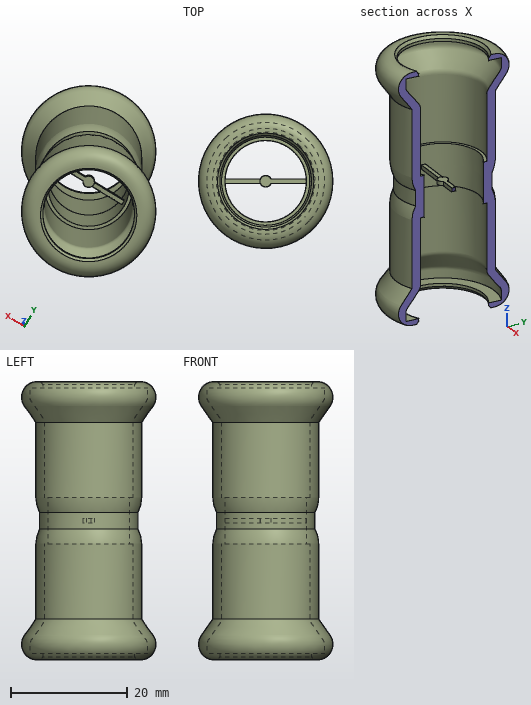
import cadquery as cq
import math

half_length = 24.0
tube_radius = 18.3 / 2
socket_radius = 15.2 / 2
neck_radius = 17.0 / 2
bore_radius = 14.0 / 2

neck_half_length = 1.45
waist_half_length = 4.0

bead_max_radius = 23.2 / 2
bead_arc_radius = 2.7
bead_end_depth = 7.05
wall = 1.45
lip_depth = 1.1
mouth_radius = 15.8 / 2
mouth_chamfer_width = 0.4
mouth_chamfer_depth = 0.55
blend_radius = 1.5

bar_width = 0.8
bar_height = 0.8
hub_radius = 1.0

bead_centre_r = bead_max_radius - bead_arc_radius
bead_centre_z = half_length - bead_arc_radius
cone_end_z = half_length - bead_end_depth
centre_to_cone_end = math.hypot(tube_radius - bead_centre_r, cone_end_z - bead_centre_z)
direction_to_cone_end = math.atan2(cone_end_z - bead_centre_z, tube_radius - bead_centre_r)
cone_normal = direction_to_cone_end + math.acos(bead_arc_radius / centre_to_cone_end)
cavity_arc_radius = bead_arc_radius - wall


def bead_point(arc_radius, angle):
    """Point (r, z) on a circle about the centre of the upper bead arc."""
    return (bead_centre_r + arc_radius * math.cos(angle), bead_centre_z + arc_radius * math.sin(angle))


def mirrored(point):
    return (point[0], -point[1])


flank_drop = tube_radius - neck_radius
flank_length = waist_half_length - neck_half_length
flank_arc_radius = (flank_length**2 + flank_drop**2) / (2 * flank_drop)
flank_half_angle = math.asin(flank_length / flank_arc_radius) / 2
flank_mid = (
    tube_radius - flank_arc_radius * (1 - math.cos(flank_half_angle)),
    waist_half_length - flank_arc_radius * math.sin(flank_half_angle),
)


def outer_body():
    arc_mid = bead_point(bead_arc_radius, (math.pi / 2 + cone_normal) / 2)
    arc_end = bead_point(bead_arc_radius, cone_normal)
    return (
        cq.Workplane("XZ")
        .moveTo(0, -half_length)
        .lineTo(bead_centre_r, -half_length)
        .threePointArc(mirrored(arc_mid), mirrored(arc_end))
        .lineTo(tube_radius, -cone_end_z)
        .lineTo(tube_radius, -waist_half_length)
        .threePointArc(mirrored(flank_mid), (neck_radius, -neck_half_length))
        .lineTo(neck_radius, neck_half_length)
        .threePointArc(flank_mid, (tube_radius, waist_half_length))
        .lineTo(tube_radius, cone_end_z)
        .lineTo(*arc_end)
        .threePointArc(arc_mid, (bead_centre_r, half_length))
        .lineTo(0, half_length)
        .close()
        .revolve(360, (0, 0), (0, 1))
    )


def socket_space():
    """Upper socket, from the shoulder up through the bead cavity and the mouth."""
    cone_start = bead_point(cavity_arc_radius, cone_normal)
    arc_mid = bead_point(cavity_arc_radius, cone_normal / 2)
    arc_end = bead_point(cavity_arc_radius, 0)

    cone_slope = math.tan(-cone_normal)
    corner_z = cone_start[1] - (cone_start[0] - socket_radius) / cone_slope
    blend_start_z = corner_z - blend_radius * math.tan(-cone_normal / 2)
    blend_centre_r = socket_radius + blend_radius

    def blend_point(angle):
        return (blend_centre_r - blend_radius * math.cos(angle), blend_start_z + blend_radius * math.sin(angle))

    return (
        cq.Workplane("XZ")
        .moveTo(0, waist_half_length)
        .lineTo(socket_radius, waist_half_length)
        .lineTo(socket_radius, blend_start_z)
        .threePointArc(blend_point(-cone_normal / 2), blend_point(-cone_normal))
        .lineTo(*cone_start)
        .threePointArc(arc_mid, arc_end)
        .lineTo(arc_end[0], half_length - lip_depth)
        .lineTo(mouth_radius, half_length - lip_depth)
        .lineTo(mouth_radius, half_length - mouth_chamfer_depth)
        .lineTo(mouth_radius + mouth_chamfer_width, half_length)
        .lineTo(0, half_length)
        .close()
        .revolve(360, (0, 0), (0, 1))
    )


def build_sleeve():
    upper = socket_space()
    bore = cq.Workplane("XY").circle(bore_radius).extrude(waist_half_length, both=True)
    return outer_body().cut(upper).cut(upper.mirror("XY")).cut(bore)


def build_bar():
    """Plain bar on the -X side, from the bore wall to the hub."""
    return bar_half(-1).cut(hub_disc())


def build_hub_bar():
    """Bar on the +X side, in one piece with the round hub on the axis."""
    return bar_half(1).union(hub_disc())


def hub_disc():
    return cq.Workplane("XY").circle(hub_radius).extrude(bar_height / 2, both=True)


def bar_half(side):
    """Bar from the axis to the bore wall, its outer end rounded to fit the wall."""
    bore_fill = cq.Workplane("XY").circle(bore_radius).extrude(bar_height, both=True)
    blank = cq.Workplane("XY").box(bore_radius, bar_width, bar_height)
    return blank.translate((side * bore_radius / 2, 0, 0)).intersect(bore_fill)


sleeve = build_sleeve()
bar = build_bar()
hub_bar = build_hub_bar()

result = cq.Compound.makeCompound([sleeve.val(), bar.val(), hub_bar.val()])